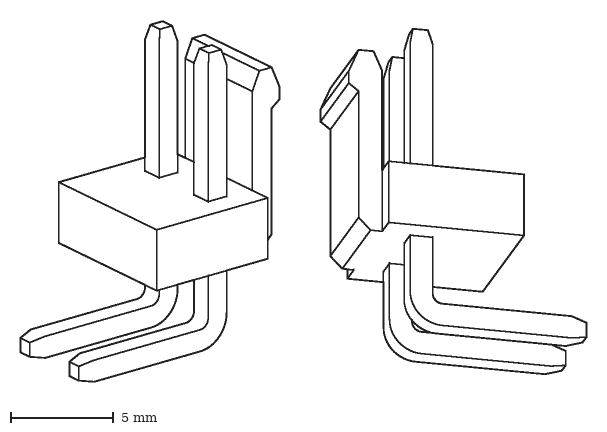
import cadquery as cq


pin_count = 2
pitch = 3.93
base_width = pin_count * pitch
base_depth = 6.84
base_height = 3.2
base_back = 2.03
base_front = base_back - base_depth

latch_width = 5.38
latch_thickness = 1.19
latch_rise = 6.19
latch_foot_chamfer = 0.6
latch_lead_in_depth = 0.43
latch_lead_in_height = 0.97
hook_reach = 0.5
hook_top_slope = 1.16
hook_flat = 0.63
hook_under_slope = 0.37

pin_size = 1.15
pin_rise = 7.7
pin_drop = 4.56
pin_reach = 3.57
bend_inner_radius = 0.48
tip_size = 0.76
tip_length = 0.8

pin_top = base_height + pin_rise
pin_front = base_front - pin_reach
leg_axis_z = pin_size / 2 - pin_drop
bend_radius = bend_inner_radius + pin_size / 2


def make_latch():
    """Upright wall with an outward hook, extruded along X."""
    back = base_back + latch_thickness
    hook_back = back + hook_reach
    top = base_height + latch_rise
    hook_top = top - hook_top_slope
    hook_bottom = hook_top - hook_flat
    outline = [
        (base_back, 0),
        (back - latch_foot_chamfer, 0),
        (back, latch_foot_chamfer),
        (back, hook_bottom - hook_under_slope),
        (hook_back, hook_bottom),
        (hook_back, hook_top),
        (back, top),
        (base_back + latch_lead_in_depth, top),
        (base_back, top - latch_lead_in_height),
    ]
    return cq.Workplane("YZ").polyline(outline).close().extrude(latch_width / 2, both=True)


def make_tip(plane):
    """Pyramid frustum that tapers a pin end along the plane normal."""
    return (
        cq.Workplane(plane)
        .rect(pin_size, pin_size)
        .workplane(offset=tip_length)
        .rect(tip_size, tip_size)
        .loft(ruled=True)
    )


def make_pin(x):
    """Square wire swept down, round the bend and forward, with tapered ends."""
    shaft_top = pin_top - tip_length
    leg_end = pin_front + tip_length
    path = (
        cq.Workplane("YZ", origin=(x, 0, 0))
        .moveTo(0, shaft_top)
        .lineTo(0, leg_axis_z + bend_radius)
        .radiusArc((-bend_radius, leg_axis_z), bend_radius)
        .lineTo(leg_end, leg_axis_z)
    )
    shaft_plane = cq.Plane(origin=(x, 0, shaft_top), xDir=(1, 0, 0), normal=(0, 0, 1))
    leg_plane = cq.Plane(origin=(x, leg_end, leg_axis_z), xDir=(1, 0, 0), normal=(0, -1, 0))
    wire = cq.Workplane(shaft_plane).rect(pin_size, pin_size).sweep(path)
    return wire.union(make_tip(shaft_plane)).union(make_tip(leg_plane))


def make_housing(pin_positions):
    """Base block and latch in one piece, with a square through hole for each pin."""
    base = cq.Workplane("XY").box(base_width, base_depth, base_height, centered=(True, False, False))
    housing = base.translate((0, base_front, 0)).union(make_latch())
    holes = (
        cq.Workplane("XY")
        .pushPoints([(x, 0) for x in pin_positions])
        .rect(pin_size, pin_size)
        .extrude(base_height)
    )
    return housing.cut(holes)


pin_positions = [(i - (pin_count - 1) / 2) * pitch for i in range(pin_count)]

housing = make_housing(pin_positions)
pins = [make_pin(x) for x in pin_positions]

result = cq.Compound.makeCompound([housing.val(), *[pin.val() for pin in pins]])